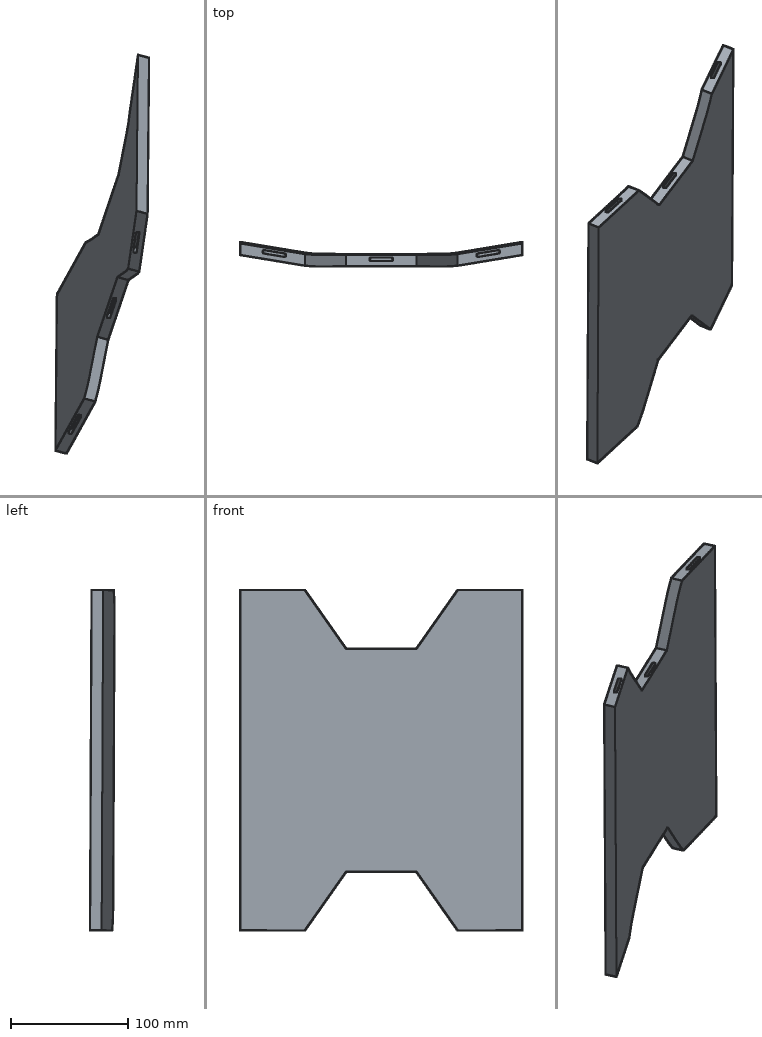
import cadquery as cq
import math

width = 240.0
overall_height = 290.0
thickness = 10.0
flat_half_width = 52.5
bend_radius = 100.0
bend_angle = 9.4
lean_angle = 0.26

notch_depth = 50.0
notch_mouth_half = 65.0
notch_floor_half = 30.0

slot_length = 20.0
slot_width = 3.0
slot_depth = 10.0
slot_front_distance = 6.0
wing_slot_x = 91.0

half_width = width / 2
lean_rad = math.radians(lean_angle)
bend_rad = math.radians(bend_angle)


def bend_point(radius, angle):
    """Point on the right-hand bend, at an angle from the flat panel."""
    return (
        flat_half_width + radius * math.sin(angle),
        bend_radius - radius * math.cos(angle),
    )


def wing_y(x, depth):
    """Y on the right wing, at a given depth behind its front face."""
    bend_end_x, bend_end_y = bend_point(bend_radius - depth, bend_rad)
    return bend_end_y + (x - bend_end_x) * math.tan(bend_rad)


def upright_height():
    """Height before leaning, so that the leaning plate has the overall height."""
    mouth_bend_x = notch_mouth_half - flat_half_width
    mouth_front_y = bend_radius - math.sqrt(bend_radius**2 - mouth_bend_x**2)
    end_face_depth = wing_y(half_width, thickness) - mouth_front_y
    return (overall_height - end_face_depth * math.sin(lean_rad)) / math.cos(lean_rad)


def mirrored(point):
    """The matching point on the left-hand side."""
    return (-point[0], point[1])


def bent_plate():
    """Upright plate, standing on its bent profile."""
    back_radius = bend_radius - thickness
    front_start = bend_point(bend_radius, 0)
    front_middle = bend_point(bend_radius, bend_rad / 2)
    front_end = bend_point(bend_radius, bend_rad)
    front_tip = (half_width, wing_y(half_width, 0))
    back_tip = (half_width, wing_y(half_width, thickness))
    back_end = bend_point(back_radius, bend_rad)
    back_middle = bend_point(back_radius, bend_rad / 2)
    back_start = bend_point(back_radius, 0)
    return (
        cq.Workplane("XY", origin=(0, 0, -half_height))
        .moveTo(*mirrored(front_start))
        .lineTo(*front_start)
        .threePointArc(front_middle, front_end)
        .lineTo(*front_tip)
        .lineTo(*back_tip)
        .lineTo(*back_end)
        .threePointArc(back_middle, back_start)
        .lineTo(*mirrored(back_start))
        .threePointArc(mirrored(back_middle), mirrored(back_end))
        .lineTo(*mirrored(back_tip))
        .lineTo(*mirrored(front_tip))
        .lineTo(*mirrored(front_end))
        .threePointArc(mirrored(front_middle), mirrored(front_start))
        .close()
        .extrude(2 * half_height)
    )


def notch(side):
    """Cutter through the plate, for the top (side=1) or bottom (side=-1) edge."""
    edge_z = side * half_height
    floor_z = side * (half_height - notch_depth)
    return (
        cq.Workplane("XZ")
        .polyline([
            (-notch_mouth_half, edge_z),
            (-notch_floor_half, floor_z),
            (notch_floor_half, floor_z),
            (notch_mouth_half, edge_z),
        ])
        .close()
        .extrude(half_width, both=True)
    )


def slot(x, y, end_z, side, angle):
    """Slot cutter running inward from an end face at end_z."""
    return (
        cq.Workplane("XY", origin=(x, y, end_z))
        .slot2D(slot_length, slot_width, angle)
        .extrude(-side * slot_depth)
    )


half_height = upright_height() / 2
wing_slot_y = wing_y(wing_slot_x, slot_front_distance)

plate = bent_plate()
for side in (1, -1):
    plate = plate.cut(notch(side))
    wing_end_z = side * half_height
    panel_end_z = side * (half_height - notch_depth)
    plate = plate.cut(slot(0, slot_front_distance, panel_end_z, side, 0))
    plate = plate.cut(slot(wing_slot_x, wing_slot_y, wing_end_z, side, bend_angle))
    plate = plate.cut(slot(-wing_slot_x, wing_slot_y, wing_end_z, side, -bend_angle))

result = plate.rotate((0, 0, 0), (1, 0, 0), lean_angle)